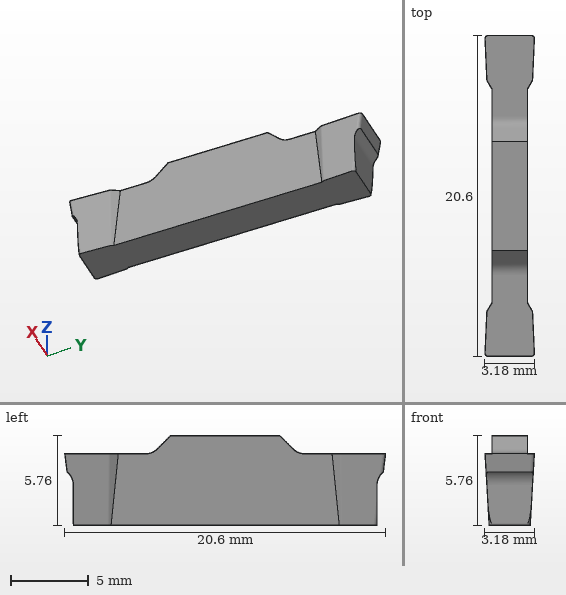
import cadquery as cq
import math

length = 20.6
head_width = 3.2
total_height = 5.76
ledge_height = 4.6

body_width = 2.3
crest_length = 7.0
crest_slope = 45.0
crest_root_radius = 1.0

head_length = 2.88
side_taper = 2.5
side_draft = 3.0
end_clearance = 7.0
shoulder_angle = 30.0
shoulder_lean = 0.6
shoulder_radius = 0.25
corner_radius = 0.2
shoulder_overlap = 0.3

relief_depth = 0.55
relief_start_drop = 1.17
relief_radius = 1.1
relief_margin = 1.0


def tan_deg(angle):
    return math.tan(math.radians(angle))


half_length = length / 2
shoulder_y = half_length - head_length


def make_body():
    """Central blade with the raised crest, extruded across X."""
    crest_half = crest_length / 2
    root_half = crest_half + (total_height - ledge_height) / tan_deg(crest_slope)
    blade = (
        cq.Workplane("YZ")
        .polyline([
            (-shoulder_y, 0),
            (shoulder_y, 0),
            (shoulder_y, ledge_height),
            (root_half, ledge_height),
            (crest_half, total_height),
            (-crest_half, total_height),
            (-root_half, ledge_height),
            (-shoulder_y, ledge_height),
        ])
        .close()
        .extrude(body_width / 2, both=True)
    )
    for root_y in (-root_half, root_half):
        root_edge = cq.selectors.NearestToPointSelector((0, root_y, ledge_height))
        blade = blade.edges("|X").edges(root_edge).fillet(crest_root_radius)
    return blade


def head_outline(drop):
    """Plan points of the +Y head at a distance below the ledge plane."""
    end_y = half_length - drop * tan_deg(end_clearance)
    edge_y = shoulder_y + drop * tan_deg(shoulder_lean)

    def half_width(y):
        return head_width / 2 - (half_length - y) * tan_deg(side_taper) - drop * tan_deg(side_draft)

    inner_x = body_width / 2 - shoulder_overlap
    inner_y = edge_y - (half_width(edge_y) - inner_x) / tan_deg(shoulder_angle)
    z = ledge_height - drop
    right_side = [
        (half_width(end_y), end_y),
        (half_width(edge_y), edge_y),
        (inner_x, inner_y),
    ]
    left_side = [(-x, y) for x, y in reversed(right_side)]
    return [cq.Vector(x, y, z) for x, y in right_side + left_side]


def make_head_blank():
    """Drafted head with rounded corner and shoulder edges."""
    wires = [cq.Wire.makePolygon(head_outline(drop), close=True) for drop in (ledge_height, 0)]
    head = cq.Workplane(obj=cq.Solid.makeLoft(wires, True))

    def upright_edges(y_low, y_high):
        """Edges joining bottom to top whose middle lies between two Y positions."""
        box = cq.selectors.BoxSelector((-head_width, y_low, 0), (head_width, y_high, ledge_height))
        return head.edges(box).edges("not #Z")

    head = upright_edges(half_length - relief_depth, half_length).fillet(corner_radius)
    lean_travel = ledge_height * tan_deg(shoulder_lean)
    return upright_edges(shoulder_y, shoulder_y + lean_travel).fillet(shoulder_radius)


def make_relief_cutter():
    """Upright cut below the cutting edge, blending outwards through an arc."""
    wall_y = half_length - relief_depth
    start_y = half_length - relief_start_drop * tan_deg(end_clearance)
    start_z = ledge_height - relief_start_drop
    outer_y = half_length + relief_margin
    center_y = wall_y + relief_radius
    rise = math.sqrt(relief_radius**2 - (center_y - start_y) ** 2)
    arc_z = start_z - rise
    half_sweep = math.asin(rise / relief_radius) / 2
    arc_middle = (
        center_y - relief_radius * math.cos(half_sweep),
        arc_z + relief_radius * math.sin(half_sweep),
    )
    return (
        cq.Workplane("YZ")
        .moveTo(wall_y, -relief_margin)
        .lineTo(wall_y, arc_z)
        .threePointArc(arc_middle, (start_y, start_z))
        .lineTo(outer_y, start_z)
        .lineTo(outer_y, -relief_margin)
        .close()
        .extrude(head_width, both=True)
    )


head = make_head_blank().cut(make_relief_cutter())
result = make_body().union(head).union(head.mirror("XZ"))